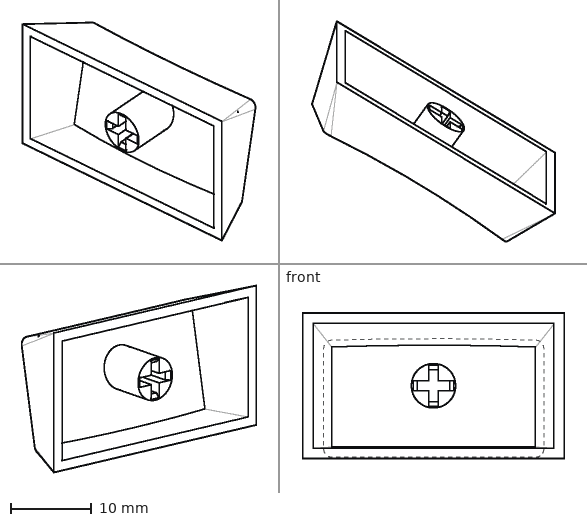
import cadquery as cq
import math

base_width = 32.35
base_height = 18.0
wall = 1.3

back_width = 27.17
back_top_y = 9.65
back_top_z = 14.62
back_bottom_y = 6.73
back_bottom_z = 0.23
back_corner_radius = 0.97
sharp_corner_radius = 0.005
dish_depth = 0.65
cut_overrun = 6.47

floor_width = 25.17
floor_top_y = 8.15
floor_top_z = 13.78
floor_bottom_z = 1.45

stem_diameter = 5.47
slot_width = 1.23
slot_length = 4.0
slot_mouth_length = 5.05
mouth_chamfer = (slot_mouth_length - slot_length) / 2

back_length = math.hypot(back_top_y - back_bottom_y, back_top_z - back_bottom_z)
slope_y = (back_top_y - back_bottom_y) / back_length
slope_z = (back_top_z - back_bottom_z) / back_length
floor_length = (floor_top_z - floor_bottom_z) / slope_z

base_centre_z = base_height / 2
base_plane = cq.Plane(origin=(0, 0, base_centre_z), xDir=(-1, 0, 0), normal=(0, 1, 0))


def tilted_plane(top_y, top_z, length):
    """Plane centred on a back or floor face, local Y up the slope, normal outward."""
    centre = (0, top_y - slope_y * length / 2, top_z - slope_z * length / 2)
    return cq.Plane(origin=centre, xDir=(-1, 0, 0), normal=(0, slope_z, -slope_y))


def rectangle(plane, width, height, corner_radius):
    outline = cq.Sketch().rect(width, height).vertices().fillet(corner_radius).reset()
    return outline.faces().val().Faces()[0].outerWire().moved(plane.location)


def dish(plane, chord, length):
    """Large cylinder, running up the slope, that hollows a face lying in plane."""
    radius = ((chord / 2) ** 2 + dish_depth**2) / (2 * dish_depth)
    start = plane.toWorldCoords((0, -length / 2 - cut_overrun, 0))
    section = cq.Plane(origin=start, xDir=plane.xDir, normal=plane.yDir)
    return (
        cq.Workplane(section)
        .center(0, dish_depth - radius)
        .circle(radius)
        .extrude(length + 2 * cut_overrun)
    )


def tapered_block(base_wire, plane, width, length, corner_radius):
    """Block from an upright outline to a tilted outline whose back is dished."""
    back_wire = rectangle(plane, width, length, corner_radius)
    block = cq.Workplane(obj=cq.Solid.makeLoft([base_wire, back_wire], True))
    return block.cut(dish(plane, width, length))


def make_outer():
    base_wire = rectangle(base_plane, base_width, base_height, sharp_corner_radius)
    plane = tilted_plane(back_top_y, back_top_z, back_length)
    return tapered_block(base_wire, plane, back_width, back_length, back_corner_radius)


def make_cavity():
    base_wire = rectangle(base_plane, base_width - 2 * wall, base_height - 2 * wall, sharp_corner_radius)
    plane = tilted_plane(floor_top_y, floor_top_z, floor_length)
    return tapered_block(base_wire, plane, floor_width, floor_length, sharp_corner_radius)


def make_slot():
    """One arm of the cross, from the mouth to beyond the floor, with sloped ends at the mouth."""
    half_mouth = slot_mouth_length / 2
    half_slot = slot_length / 2
    return (
        cq.Workplane("XY")
        .polyline([
            (-half_mouth, 0),
            (half_mouth, 0),
            (half_slot, mouth_chamfer),
            (half_slot, back_top_y),
            (-half_slot, back_top_y),
            (-half_slot, mouth_chamfer),
        ])
        .close()
        .extrude(slot_width / 2, both=True)
    )


def make_stem_gap(cavity):
    """Cavity space left around the stem and inside its cross socket."""
    stem = cq.Workplane(base_plane).circle(stem_diameter / 2).extrude(back_top_y)
    level_slot = make_slot()
    upright_slot = level_slot.rotate((0, 0, 0), (0, 1, 0), 90)
    socket = level_slot.union(upright_slot).translate((0, 0, base_centre_z))
    return cavity.cut(stem.cut(socket))


result = make_outer().cut(make_stem_gap(make_cavity()))